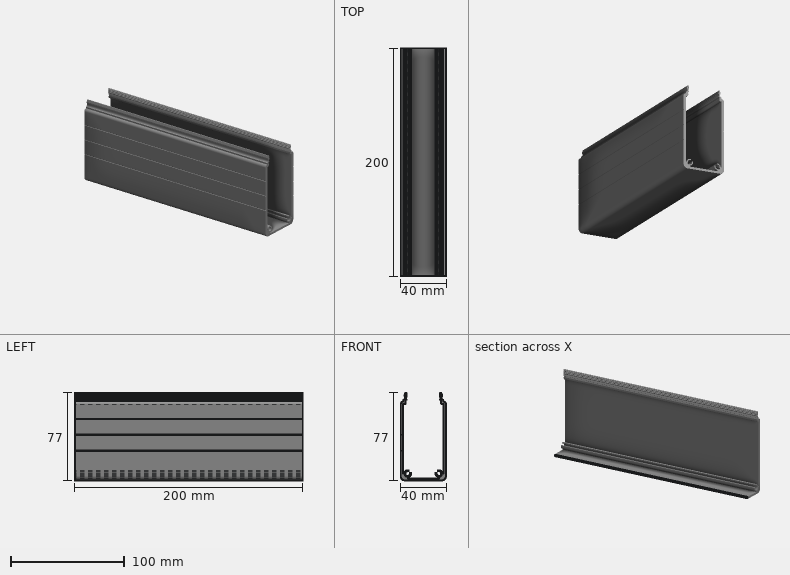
import cadquery as cq
import math

WIDTH = 40.0
LENGTH = 200.0
HEIGHT = 77.0
SIDE_WALL = 2.5
FLOOR = 2.0
CORNER_RADIUS = 4.0

SCORE_HEIGHTS = (26.0, 40.0, 54.0)
SCORE_WIDTH = 0.8
SCORE_DEPTH = 0.5

CHANNEL_INSET = 6.5
CHANNEL_HEIGHT = 6.2
CHANNEL_OUTER_RADIUS = 3.0
CHANNEL_BORE_RADIUS = 2.0
RELIEF_RADIUS = 2.8
RELIEF_START = 200
RELIEF_END = 250
MOUTH_OFFSET = 0.8

SHOULDER_SIZE = 2.5
SHOULDER_BULGE = 0.5
LEDGE_BOTTOM = 67.0
LEDGE_INSET = 4.5
LEDGE_RADIUS = 1.2
LEDGE_TOP = 69.5

LIP_FOOT = 70.8
BARB_HEIGHT = 75.0
BARB_INSET = 3.5
BARB_BOTTOM = 73.8
BARB_BOTTOM_INSET = 3.5
TIP_INSET = 4.2
TIP_CHAMFER = 0.5
LIP_INNER_INSET = 5.5
WAIST_HEIGHT = 72.5
WAIST_OUTER_INSET = 4.0
WAIST_INNER_INSET = 4.8
BUMP_HEIGHT = 71.0
NECK_HEIGHT = 70.5
NECK_INSET = 4.2

TOOTH_HEIGHTS = (73.5, 74.8, 76.0)
TOOTH_WIDTH = 0.5
TOOTH_DEPTH = 0.5

LEFT = -WIDTH / 2
CHANNEL_X = LEFT + CHANNEL_INSET


def extrude(sketch):
    """Extrude a closed XZ outline over the full length, centred on Y = 0."""
    return sketch.close().extrude(LENGTH / 2, both=True)


def prism(points):
    return extrude(cq.Workplane("XZ").polyline(points))


def rod(radius):
    """Full-length cylinder on the screw channel axis."""
    axis = cq.Workplane("XZ").center(CHANNEL_X, CHANNEL_HEIGHT)
    return axis.circle(radius).extrude(LENGTH / 2, both=True)


def v_groove(face_x, height, width, depth):
    """V-shaped cutter: positive depth cuts towards +X, negative towards -X."""
    return prism([
        (face_x, height - width / 2),
        (face_x + depth, height),
        (face_x, height + width / 2),
    ])


def wall_and_floor():
    """Left half of the channel, from the floor up to the snap lip."""
    arc_45 = math.sqrt(0.5)
    corner_mid = CORNER_RADIUS * (1 - arc_45)
    ledge_mid = LEDGE_RADIUS * (1 - arc_45)
    ledge_x = LEFT + LEDGE_INSET
    foot_x = LEFT + SHOULDER_SIZE
    inner_x = LEFT + SIDE_WALL
    lip_inner_x = LEFT + LIP_INNER_INSET
    outline = (
        cq.Workplane("XZ")
        .moveTo(0, 0)
        .lineTo(LEFT + CORNER_RADIUS, 0)
        .threePointArc((LEFT + corner_mid, corner_mid), (LEFT, CORNER_RADIUS))
        .lineTo(LEFT, LEDGE_TOP - SHOULDER_SIZE)
        .sagittaArc((foot_x, LEDGE_TOP), SHOULDER_BULGE)
        .lineTo(foot_x, LIP_FOOT)
        .threePointArc(
            (LEFT + WAIST_OUTER_INSET, WAIST_HEIGHT),
            (LEFT + BARB_BOTTOM_INSET, BARB_BOTTOM),
        )
        .lineTo(LEFT + BARB_INSET, BARB_HEIGHT)
        .lineTo(LEFT + TIP_INSET, HEIGHT)
        .lineTo(lip_inner_x - TIP_CHAMFER, HEIGHT)
        .lineTo(lip_inner_x, HEIGHT - TIP_CHAMFER)
        .lineTo(lip_inner_x, TOOTH_HEIGHTS[0] - TOOTH_WIDTH / 2)
        .lineTo(LEFT + WAIST_INNER_INSET, WAIST_HEIGHT)
        .lineTo(lip_inner_x, BUMP_HEIGHT)
        .lineTo(LEFT + NECK_INSET, NECK_HEIGHT)
        .lineTo(ledge_x, LEDGE_TOP)
        .lineTo(ledge_x, LEDGE_BOTTOM + LEDGE_RADIUS)
        .threePointArc(
            (ledge_x - ledge_mid, LEDGE_BOTTOM + ledge_mid),
            (ledge_x - LEDGE_RADIUS, LEDGE_BOTTOM),
        )
        .lineTo(inner_x, LEDGE_BOTTOM)
        .lineTo(inner_x, CHANNEL_HEIGHT)
        .lineTo(CHANNEL_X, CHANNEL_HEIGHT)
        .lineTo(CHANNEL_X, FLOOR)
        .lineTo(0, FLOOR)
    )
    return extrude(outline)


def relief():
    """Wider part of the screw bore, on the side facing the outer corner."""
    reach = 2 * RELIEF_RADIUS
    sector = [(CHANNEL_X, CHANNEL_HEIGHT)]
    for degrees in (RELIEF_START, RELIEF_END):
        angle = math.radians(degrees)
        sector.append((CHANNEL_X + reach * math.cos(angle), CHANNEL_HEIGHT + reach * math.sin(angle)))
    return rod(RELIEF_RADIUS).intersect(prism(sector))


def mouth():
    """Square opening of the screw channel, towards the inside of the part."""
    x0 = CHANNEL_X + MOUTH_OFFSET
    z0 = CHANNEL_HEIGHT + MOUTH_OFFSET
    x1 = x0 + CHANNEL_OUTER_RADIUS
    z1 = z0 + CHANNEL_OUTER_RADIUS
    return prism([(x0, z0), (x1, z0), (x1, z1), (x0, z1)])


half = wall_and_floor().union(rod(CHANNEL_OUTER_RADIUS))
half = half.cut(rod(CHANNEL_BORE_RADIUS)).cut(relief()).cut(mouth())

for score_height in SCORE_HEIGHTS:
    half = half.cut(v_groove(LEFT, score_height, SCORE_WIDTH, SCORE_DEPTH))
for tooth_height in TOOTH_HEIGHTS:
    half = half.cut(v_groove(LEFT + LIP_INNER_INSET, tooth_height, TOOTH_WIDTH, -TOOTH_DEPTH))

result = half.union(half.mirror("YZ")).clean()